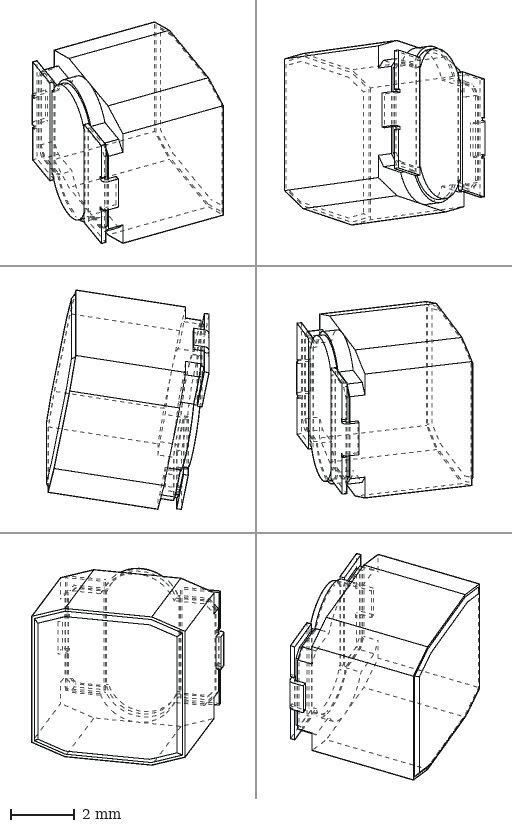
import cadquery as cq
import math


overall_width = 5.3
overall_depth = 4.35
body_size = 5.0
half_body = body_size / 2

block_flat_half_width = 1.415
block_side_half_height = 2.12
block_front = 0.745
block_back = 4.25
panel_foot_inset = 0.09
panel_back_inset = 0.235

plate_front = 0.255
plate_half_height = 1.71
plate_corner = 0.31
arc_half_width = 1.2

pad_inset = 0.1
pad_front = 0.05

terminal_thickness = (overall_width - body_size) / 2
terminal_gap = 0.05
terminal_height = 3.795
tab_height = 1.09
tab_back = 0.515
notch_height = 0.1
notch_depth = 0.09


def box_between(x_range, y_range, z_range):
    """Box spanning the given (low, high) range on each axis."""
    size = [high - low for low, high in (x_range, y_range, z_range)]
    corner = (x_range[0], y_range[0], z_range[0])
    return cq.Workplane("XY").box(*size, centered=False).translate(corner)


def xz_plane(y):
    """Workplane at depth y with local axes X and Z; positive extrusion goes toward -Y."""
    return cq.Workplane("XZ", origin=(0, y, 0))


def octagon(plane, inset):
    """Cross section of the housing block on a plane, with every edge moved inward by inset."""
    slope = math.atan2(half_body - block_side_half_height, half_body - block_flat_half_width)
    flat_half_width = block_flat_half_width - inset * math.tan(slope / 2)
    side_half_height = block_side_half_height - inset * math.tan(math.pi / 4 - slope / 2)
    edge = half_body - inset
    return plane.polyline([
        (flat_half_width, edge),
        (edge, side_half_height),
        (edge, -side_half_height),
        (flat_half_width, -edge),
        (-flat_half_width, -edge),
        (-edge, -side_half_height),
        (-edge, side_half_height),
        (-flat_half_width, edge),
    ]).close()


def front_layer(inset, front, back):
    """Cut-corner rectangle with a round bulge at top and bottom, moved inward by inset."""
    arc_rise = half_body - plate_half_height
    full_radius = (arc_half_width**2 + arc_rise**2) / (2 * arc_rise)
    arc_center = half_body - full_radius

    side = half_body - inset
    shoulder = plate_half_height - inset
    crown = half_body - inset
    arc_end = math.sqrt((full_radius - inset)**2 - (shoulder - arc_center)**2)

    corner = plate_corner - inset * (2 - math.sqrt(2))

    return (
        xz_plane(back)
        .moveTo(side, shoulder - corner)
        .lineTo(side - corner, shoulder)
        .lineTo(arc_end, shoulder)
        .threePointArc((0, crown), (-arc_end, shoulder))
        .lineTo(-side + corner, shoulder)
        .lineTo(-side, shoulder - corner)
        .lineTo(-side, -shoulder + corner)
        .lineTo(-side + corner, -shoulder)
        .lineTo(-arc_end, -shoulder)
        .threePointArc((0, -crown), (arc_end, -shoulder))
        .lineTo(side - corner, -shoulder)
        .lineTo(side, -shoulder + corner)
        .close()
        .extrude(back - front)
    )


def make_housing():
    block = octagon(xz_plane(block_back), 0).extrude(block_back - block_front)
    plate = front_layer(0, plate_front, block_front)

    panel_foot = octagon(xz_plane(block_back), panel_foot_inset)
    panel_height = overall_depth - block_back
    panel = octagon(panel_foot.workplane(offset=-panel_height), panel_back_inset).loft(ruled=True)
    return block.union(plate).union(panel)


def make_pad():
    pad = front_layer(pad_inset, pad_front, plate_front)

    for x_range in ((-half_body, -arc_half_width), (arc_half_width, half_body)):
        seat = box_between(x_range, (0, terminal_thickness), (-half_body, half_body))
        pad = pad.cut(seat)
    return pad


def make_terminal(side):
    """Terminal on the +X side (side = 1) or its mirror image on the -X side (side = -1)."""
    inner_edge = arc_half_width + terminal_gap
    tab_outside = overall_width / 2
    plate = box_between(
        (inner_edge, half_body),
        (0, terminal_thickness),
        (-terminal_height / 2, terminal_height / 2),
    )

    for z_low in (tab_height / 2, -tab_height / 2 - notch_height):
        notch = box_between(
            (half_body - notch_depth, half_body),
            (0, terminal_thickness),
            (z_low, z_low + notch_height),
        )
        plate = plate.cut(notch)

    bend_middle = terminal_thickness * math.sqrt(0.5)
    tab = (
        cq.Workplane("XY", origin=(0, 0, -tab_height / 2))
        .moveTo(half_body, 0)
        .threePointArc(
            (half_body + bend_middle, terminal_thickness - bend_middle),
            (tab_outside, terminal_thickness),
        )
        .lineTo(tab_outside, tab_back)
        .lineTo(half_body, tab_back)
        .close()
        .extrude(tab_height)
    )
    terminal = plate.union(tab)
    return terminal if side > 0 else terminal.mirror("YZ")


housing = make_housing()
pad = make_pad()
terminals = [make_terminal(side) for side in (-1, 1)]

result = cq.Compound.makeCompound([housing.val(), pad.val(), *[terminal.val() for terminal in terminals]])